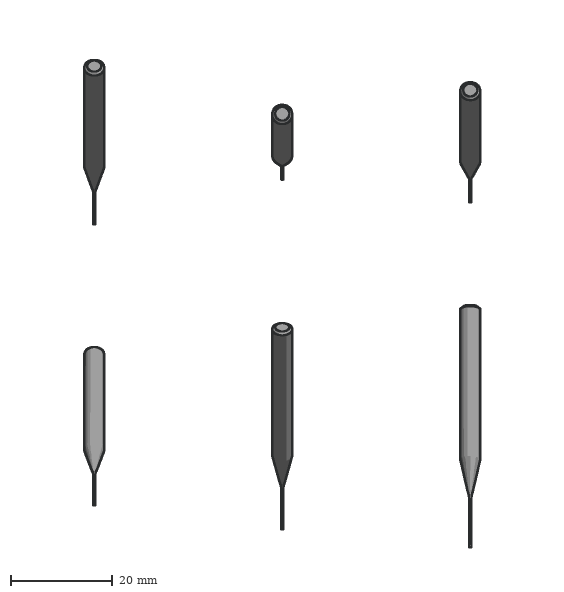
import cadquery as cq
import math

tool_length = 50.0
shank_radius = 2.0

chamfer_height = 0.5
chamfer_width = 0.6

cone_top = 18.3
neck_top = 10.0
neck_radius = 0.24
blend_radius = 5.0
blend_height = 1.7

ball_radius = 0.25
tip_length = 0.8


def blend_offset(height):
    """Radial growth of the concave blend at a height above the neck."""
    return blend_radius - math.sqrt(blend_radius**2 - height**2)


def make_holder():
    """Chamfered shank, cone, concave blend and neck, revolved about Z."""
    blend_middle = (neck_radius + blend_offset(blend_height / 2), neck_top + blend_height / 2)
    blend_end = (neck_radius + blend_offset(blend_height), neck_top + blend_height)
    return (
        cq.Workplane("XZ")
        .moveTo(0, tip_length)
        .lineTo(neck_radius, tip_length)
        .lineTo(neck_radius, neck_top)
        .threePointArc(blend_middle, blend_end)
        .lineTo(shank_radius, cone_top)
        .lineTo(shank_radius, tool_length - chamfer_height)
        .lineTo(shank_radius - chamfer_width, tool_length)
        .lineTo(0, tool_length)
        .close()
        .revolve(360, (0, 0, 0), (0, 1, 0))
    )


def make_cutting_tip():
    """Short cylinder with a hemispherical end, butted against the neck."""
    arc_middle = (
        ball_radius * math.sin(math.pi / 4),
        ball_radius * (1 - math.cos(math.pi / 4)),
    )
    return (
        cq.Workplane("XZ")
        .moveTo(0, 0)
        .threePointArc(arc_middle, (ball_radius, ball_radius))
        .lineTo(ball_radius, tip_length)
        .lineTo(0, tip_length)
        .close()
        .revolve(360, (0, 0, 0), (0, 1, 0))
    )


holder = make_holder()
cutting_tip = make_cutting_tip()

result = cq.Compound.makeCompound([holder.val(), cutting_tip.val()])